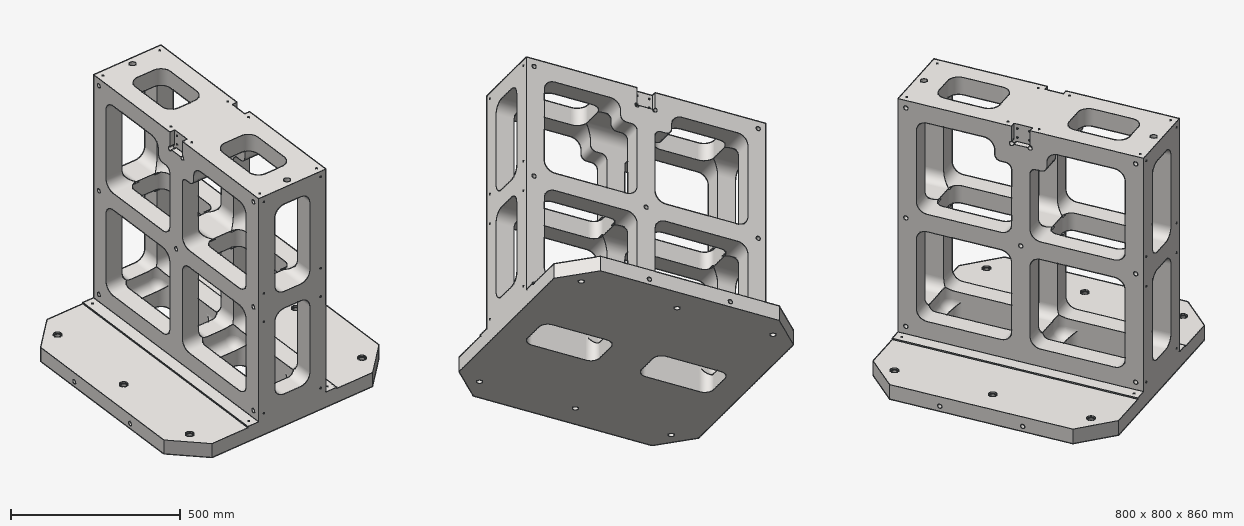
import cadquery as cq
plate_side = 800.0
plate_height = 51.0
plate_chamfer = 101.5
plate_hole_offset = 320.0
plate_hole_diameter = 18.0
plate_sink_diameter = 26.0
plate_sink_depth = 5.0
edge_hole_offset = 135.0
edge_hole_height = 18.0

strip_width = 330.0
strip_height = 4.0
strip_hole_offset_x = 378.0
strip_hole_offset_y = 145.0

total_height = 860.0
tower_width = 250.0
wall = 60.0
corner_radius = 35.0
tower_bottom = plate_height + strip_height

cell_width = (plate_side - 3 * wall) / 2
cell_offset_x = (cell_width + wall) / 2
lower_cell_height = 310.0
lower_cell_bottom = tower_bottom + wall
lower_cell_top = lower_cell_bottom + lower_cell_height
upper_cell_bottom = lower_cell_top + wall
upper_cell_top = total_height - wall
cell_heights = ((lower_cell_bottom, lower_cell_top), (upper_cell_bottom, upper_cell_top))

inner_width = tower_width - 2 * wall
top_opening_length = 197.0
top_opening_offset = 211.5
shelf_opening_length = 250.0
floor_opening_length = 241.0
floor_opening_offset = 190.0
floor_recess_bottom = tower_bottom
opening_radius = 30.0

mount_width = 60.0
mount_height = 60.0
mount_depth = 18.0
relief_diameter = 14.0
mount_hole_offset = 20.0
mount_hole_drops = (15.5, 46.5)
web_width = 170.0
web_drop = 130.0
web_radius = 20.0

drill_point_ratio = 0.3
face_hole_diameter = 14.0
face_hole_depth = 30.0
face_hole_inset = 26.0
top_hole_diameter = 21.0
top_hole_depth = 43.0
top_hole_inset = 26.0
screw_diameter = 5.0
screw_depth = 15.0
screw_inset = 20.0
screw_inner_offset = 51.0
side_screw_pitch = 330.0
side_screw_low_inset = 22.0

half_side = plate_side / 2
half_tower = tower_width / 2
signs = (-1, 1)


def block(length, width, bottom, top, x=0):
    """Upright block centred on (x, 0)."""
    return cq.Workplane("XY", origin=(x, 0, bottom)).rect(length, width).extrude(top - bottom)


def opening(length, bottom, top, x, radius):
    """Vertical opening with rounded corners."""
    return block(length, inner_width, bottom, top, x).edges("|Z").fillet(radius)


def drill(part, diameter, depth, start, direction):
    """Cut a round hole from a start point along a direction."""
    start = cq.Vector(*start)
    direction = cq.Vector(*direction)
    hole = cq.Solid.makeCylinder(diameter / 2, depth, start, direction)
    return part.cut(cq.Workplane(hole))


def drill_pointed(part, diameter, depth, start, direction):
    """Cut a blind round hole that ends in a drill point."""
    end = cq.Vector(*start) + cq.Vector(*direction) * depth
    point = cq.Solid.makeCone(diameter / 2, 0, diameter * drill_point_ratio, end, cq.Vector(*direction))
    return drill(part, diameter, depth, start, direction).cut(cq.Workplane(point))


def cell(side, bottom, top):
    """Front-to-back window of one cell."""
    window = block(cell_width, tower_width, bottom, top, side * cell_offset_x)
    return window.edges("|Y").fillet(corner_radius)


def web():
    """Thick web below the mounting pockets, flared into the cell tops and the middle rib."""
    top = total_height
    outer = web_width / 2
    bottom = top - web_drop
    rib = wall / 2
    ceiling = upper_cell_top
    flare = corner_radius
    shape = (
        cq.Workplane("XZ", origin=(0, half_tower, 0))
        .moveTo(0, top)
        .lineTo(outer + flare, top)
        .lineTo(outer + flare, ceiling)
        .radiusArc((outer, ceiling - flare), -flare)
        .lineTo(outer, bottom + web_radius)
        .radiusArc((outer - web_radius, bottom), web_radius)
        .lineTo(rib + web_radius, bottom)
        .radiusArc((rib, bottom - web_radius), -web_radius)
        .lineTo(0, bottom - web_radius)
        .close()
        .extrude(tower_width)
    )
    return shape.union(shape.mirror("YZ"))


plate = block(plate_side, plate_side, 0, plate_height).edges("|Z").chamfer(plate_chamfer)
strip = block(plate_side, strip_width, 0, tower_bottom)
tower = block(plate_side, tower_width, 0, total_height)

for bottom, top in cell_heights:
    for side in signs:
        tower = tower.cut(cell(side, bottom, top))
tower = tower.union(web())
for bottom, top in cell_heights:
    tower = tower.cut(block(plate_side, inner_width, bottom, top).edges("|X").fillet(corner_radius))
result = plate.union(strip).union(tower)

for side in signs:
    cell_x = side * cell_offset_x
    top_x = side * top_opening_offset
    floor_x = side * floor_opening_offset
    top_opening_bottom = upper_cell_top - corner_radius
    openings = (
        opening(top_opening_length, top_opening_bottom, total_height, top_x, corner_radius),
        opening(shelf_opening_length, lower_cell_top, upper_cell_bottom, cell_x, opening_radius),
        opening(floor_opening_length, 0, lower_cell_bottom, floor_x, opening_radius),
    )
    for solid in openings:
        result = result.cut(solid)
    recess_top = lower_cell_bottom + corner_radius
    recess = block(cell_width, inner_width, floor_recess_bottom, recess_top, cell_x)
    result = result.cut(recess.edges("|Z or <Z").fillet(opening_radius))

for side in signs:
    face_y = side * half_tower
    inward = (0, -side, 0)
    mount_floor = total_height - mount_height
    result = result.cut(
        block(mount_width, 2 * mount_depth, mount_floor, total_height).translate((0, face_y, 0))
    )
    for side_x in signs:
        corner = (side_x * mount_width / 2, face_y, mount_floor)
        result = drill(result, relief_diameter, mount_depth, corner, inward)
        for drop in mount_hole_drops:
            start = (side_x * mount_hole_offset, face_y - side * mount_depth, total_height - drop)
            result = drill(result, screw_diameter, screw_depth, start, inward)

hole_x = half_side - face_hole_inset
hole_bottom = tower_bottom + face_hole_inset
hole_top = total_height - face_hole_inset
hole_middle = (lower_cell_top + upper_cell_bottom) / 2
face_holes = [(x, z) for x in (-hole_x, hole_x) for z in (hole_bottom, hole_middle, hole_top)]
face_holes.append((0, hole_middle))
for side in signs:
    inward = (0, -side, 0)
    for x, z in face_holes:
        result = drill(result, face_hole_diameter, face_hole_depth, (x, side * half_tower, z), inward)
    for x in (-edge_hole_offset, edge_hole_offset):
        start = (x, side * half_side, edge_hole_height)
        result = drill_pointed(result, face_hole_diameter, face_hole_depth, start, inward)

down = (0, 0, -1)
screw_x = half_side - screw_inset
screw_y = half_tower - screw_inset
for side_x in signs:
    top_hole = (side_x * (half_side - top_hole_inset), 0, total_height)
    result = drill_pointed(result, top_hole_diameter, top_hole_depth, top_hole, down)
    for side_y in signs:
        for x in (screw_x, screw_inner_offset):
            start = (side_x * x, side_y * screw_y, total_height)
            result = drill(result, screw_diameter, screw_depth, start, down)
        start = (side_x * strip_hole_offset_x, side_y * strip_hole_offset_y, tower_bottom)
        result = drill(result, screw_diameter, screw_depth, start, down)
for x in (-plate_hole_offset, 0, plate_hole_offset):
    for side_y in signs:
        start = (x, side_y * plate_hole_offset, plate_height)
        result = drill(result, plate_hole_diameter, plate_height, start, down)
        result = drill(result, plate_sink_diameter, plate_sink_depth, start, down)

low_z = tower_bottom + side_screw_low_inset
high_z = total_height - screw_inset
side_heights = (low_z, low_z + side_screw_pitch, high_z - side_screw_pitch, high_z)
for side in signs:
    for y in (-screw_y, screw_y):
        for z in side_heights:
            result = drill(result, screw_diameter, screw_depth, (side * half_side, y, z), (-side, 0, 0))